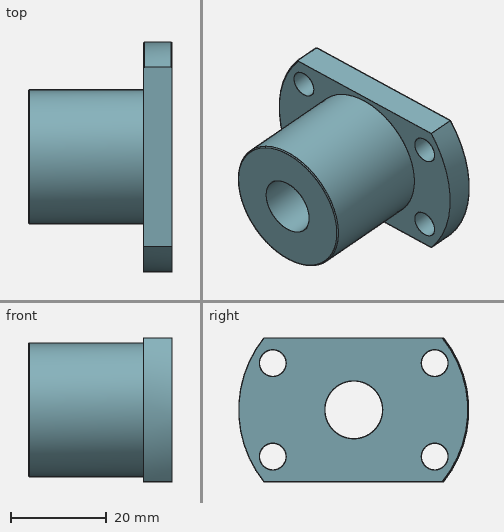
import cadquery as cq
import math

flange_diameter = 48.0
flange_height = 30.0
flange_thickness = 6.0

total_length = 30.0
body_diameter = 28.0
body_length = total_length - flange_thickness

edge_chamfer = 0.25

bore_diameter = 12.0
hole_diameter = 5.5
hole_circle_diameter = 39.0
hole_angle = 30.0


def make_body():
    """Cylinder from X = 0 with a chamfered free end, reaching through the flange."""
    body = cq.Workplane("YZ").circle(body_diameter / 2).extrude(total_length)
    return body.faces("<X").chamfer(edge_chamfer)


def make_flange():
    """Disc trimmed flat at the top and bottom, with both edges of its +Y arc chamfered."""
    plane = cq.Workplane("YZ").workplane(offset=body_length)
    disc = plane.circle(flange_diameter / 2).extrude(flange_thickness)
    trim = plane.rect(flange_diameter, flange_height).extrude(flange_thickness)
    flange = disc.intersect(trim)
    return flange.faces(">Y").edges("%CIRCLE").chamfer(edge_chamfer)


def make_holes():
    """Central bore and four mounting holes, mirrored about Y and Z."""
    radius = hole_circle_diameter / 2
    hole_y = radius * math.cos(math.radians(hole_angle))
    hole_z = radius * math.sin(math.radians(hole_angle))
    centers = [(y, z) for y in (-hole_y, hole_y) for z in (-hole_z, hole_z)]
    plane = cq.Workplane("YZ")
    bore = plane.circle(bore_diameter / 2).extrude(total_length)
    mounting = plane.pushPoints(centers).circle(hole_diameter / 2).extrude(total_length)
    return bore, mounting


bore, mounting_holes = make_holes()
flange = make_flange().cut(mounting_holes)
result = flange.union(make_body()).cut(bore)